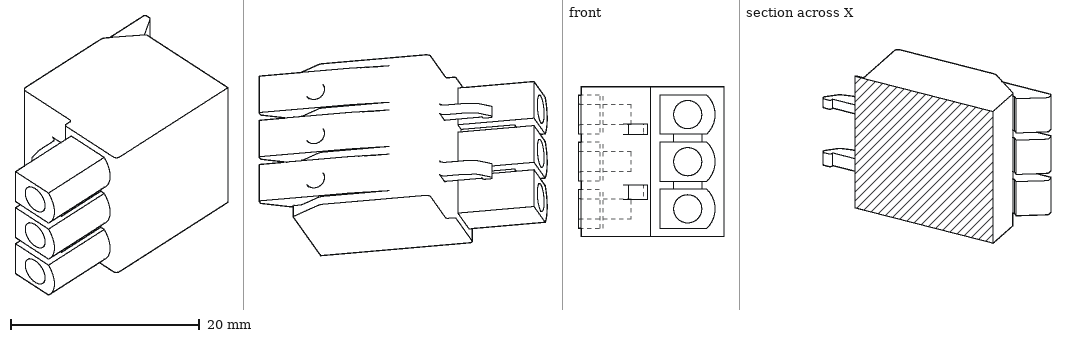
import cadquery as cq
import math

TOTAL_X = 15.4
TOTAL_Y = 27.87
TOTAL_Z = 15.89
PITCH = 5.0
POLE_CENTRES = [TOTAL_Z / 2 + i * PITCH for i in (-1, 0, 1)]
OVERLAP = 0.55

BODY_LEFT = 0.28
BODY_BACK = 24.95
LATCH_FACE = 9.35
PLUG_FACE = 8.3
STEP_X = 7.6
BEVEL_X = 3.18
BEVEL_Y = 21.26
FRONT_ROUND = 0.47
STEP_ROUND = 0.22
BEVEL_SIDE_ROUND = 1.0
BEVEL_BACK_ROUND = 0.4

PLUG_LEFT = 8.6
PLUG_FLAT_END = 13.57
PLUG_RIGHT = 14.46
PLUG_HEIGHT = 4.15
BORE_X = 11.57
BORE_DIAMETER = 2.98
BORE_DEPTH = PLUG_FACE
WEB_WIDTH = BORE_DIAMETER
WEB_TIP = 2.45

LEVER_HEIGHT = 4.12
LEVER_BEND = 17.95
LEVER_END = 13.75
LEVER_TIP_WIDTH = 0.8
LEVER_HOOK_X = 2.62
LEVER_HOOK_Y = 24.97
LEVER_INNER_X = 2.25
LEVER_TIP_ROUND = 0.2
LEVER_HOLE_Y = 21.82
LEVER_HOLE_DIAMETER = 2.12
LEVER_HOLE_DEPTH = 5.57
LEVER_HOLE_ROUND = 0.22

LATCH_LEFT = 5.3
LATCH_RIGHT = 6.9
LATCH_BEND = 6.8
NOSE_X = 5.63
NOSE_Y = 5.4
NOSE_ROUND = 0.6
HOOK_RIGHT = 7.3
HOOK_TOP = 5.25
HOOK_TIP_ROUND = 0.3
HOOK_TOP_ROUND = 0.25
LATCH_ROOT_ROUND = 0.53
LATCH_SMALL_ROOT_ROUND = 0.15
LATCH_SPANS = [(3.93, 5.45), (10.85, 11.93)]


def layer(bottom):
    """Horizontal sketch plane at the given height."""
    return cq.Workplane("XY").workplane(offset=bottom)


def round_upright_edges(solid, edge_rounds, mid_height):
    """Fillet the vertical edges given as (x, y, radius)."""
    for x, y, radius in edge_rounds:
        edge = cq.selectors.NearestToPointSelector((x, y, mid_height))
        solid = solid.edges(edge).fillet(radius)
    return solid


def make_housing():
    outline = [
        (BODY_LEFT, LATCH_FACE),
        (STEP_X, LATCH_FACE),
        (STEP_X, PLUG_FACE),
        (TOTAL_X, PLUG_FACE),
        (TOTAL_X, BODY_BACK),
        (BEVEL_X, BODY_BACK),
        (BODY_LEFT, BEVEL_Y),
    ]
    housing = layer(0).polyline(outline).close().extrude(TOTAL_Z)
    edge_rounds = [
        (BODY_LEFT, LATCH_FACE, FRONT_ROUND),
        (TOTAL_X, PLUG_FACE, FRONT_ROUND),
        (STEP_X, LATCH_FACE, STEP_ROUND),
        (STEP_X, PLUG_FACE, STEP_ROUND),
        (BODY_LEFT, BEVEL_Y, BEVEL_SIDE_ROUND),
        (BEVEL_X, BODY_BACK, BEVEL_BACK_ROUND),
    ]
    return round_upright_edges(housing, edge_rounds, TOTAL_Z / 2)


def make_plug(z_centre):
    """Sleeve with three flat sides and one bowed side."""
    half = PLUG_HEIGHT / 2
    length = PLUG_FACE + OVERLAP
    return (
        cq.Workplane("XZ")
        .moveTo(PLUG_LEFT, z_centre - half)
        .lineTo(PLUG_FLAT_END, z_centre - half)
        .threePointArc((PLUG_RIGHT, z_centre), (PLUG_FLAT_END, z_centre + half))
        .lineTo(PLUG_LEFT, z_centre + half)
        .close()
        .extrude(-length)
    )


def make_web():
    """Rib running through the sleeves and bridging the gaps between them."""
    length = PLUG_FACE + OVERLAP - WEB_TIP
    height = POLE_CENTRES[-1] - POLE_CENTRES[0]
    return (
        layer(POLE_CENTRES[0])
        .center(BORE_X, WEB_TIP + length / 2)
        .rect(WEB_WIDTH, length)
        .extrude(height)
    )


def make_bore(z_centre):
    return (
        cq.Workplane("XZ")
        .center(BORE_X, z_centre)
        .circle(BORE_DIAMETER / 2)
        .extrude(-BORE_DEPTH)
    )


def make_lever(z_centre):
    hook_return = LEVER_HOOK_X - LEVER_INNER_X
    outline = [
        (0, LEVER_BEND),
        (0, TOTAL_Y),
        (LEVER_TIP_WIDTH, TOTAL_Y),
        (LEVER_HOOK_X, LEVER_HOOK_Y),
        (LEVER_INNER_X, LEVER_HOOK_Y - hook_return),
        (LEVER_INNER_X, LEVER_BEND),
        (BODY_LEFT, LEVER_END),
    ]
    lever = layer(z_centre - LEVER_HEIGHT / 2).polyline(outline).close().extrude(LEVER_HEIGHT)
    return lever.faces(">Y").edges("|Z").fillet(LEVER_TIP_ROUND)


def make_lever_hole(z_centre):
    """Blind hole along X whose mouth is rounded over; a revolved half profile."""
    radius = LEVER_HOLE_DIAMETER / 2
    mouth = radius + LEVER_HOLE_ROUND
    arc_offset = LEVER_HOLE_ROUND * (1 - math.sqrt(0.5))
    return (
        layer(z_centre)
        .center(0, LEVER_HOLE_Y)
        .lineTo(0, mouth)
        .threePointArc((arc_offset, radius + arc_offset), (LEVER_HOLE_ROUND, radius))
        .lineTo(LEVER_HOLE_DEPTH, radius)
        .lineTo(LEVER_HOLE_DEPTH, 0)
        .close()
        .revolve(360, (0, 0), (1, 0))
    )


def make_latch(bottom, top):
    height = top - bottom
    root = LATCH_FACE + OVERLAP
    tip_y = NOSE_Y - (HOOK_RIGHT - NOSE_X)
    outline = [
        (LATCH_LEFT, root),
        (LATCH_LEFT, LATCH_BEND),
        (NOSE_X, NOSE_Y),
        (HOOK_RIGHT, tip_y),
        (HOOK_RIGHT, HOOK_TOP),
        (LATCH_RIGHT, HOOK_TOP),
        (LATCH_RIGHT, root),
    ]
    latch = layer(bottom).polyline(outline).close().extrude(height)
    edge_rounds = [
        (NOSE_X, NOSE_Y, NOSE_ROUND),
        (HOOK_RIGHT, tip_y, HOOK_TIP_ROUND),
        (HOOK_RIGHT, HOOK_TOP, HOOK_TOP_ROUND),
    ]
    latch = round_upright_edges(latch, edge_rounds, (bottom + top) / 2)
    left_root = make_root_round(LATCH_LEFT, -LATCH_ROOT_ROUND, bottom, height)
    right_root = make_root_round(LATCH_RIGHT, LATCH_SMALL_ROOT_ROUND, bottom, height)
    return latch.union(left_root).union(right_root)


def make_root_round(x, reach, bottom, height):
    """Concave corner fill between a latch side and the housing; reach is signed along X."""
    radius = abs(reach)
    arc_offset = 1 - math.sqrt(0.5)
    return (
        layer(bottom)
        .moveTo(x, LATCH_FACE)
        .lineTo(x + reach, LATCH_FACE)
        .threePointArc(
            (x + reach * arc_offset, LATCH_FACE - radius * arc_offset),
            (x, LATCH_FACE - radius),
        )
        .close()
        .extrude(height)
    )


result = make_housing().union(make_web())
for centre in POLE_CENTRES:
    result = result.union(make_plug(centre)).union(make_lever(centre))
for latch_bottom, latch_top in LATCH_SPANS:
    result = result.union(make_latch(latch_bottom, latch_top))
for centre in POLE_CENTRES:
    result = result.cut(make_bore(centre)).cut(make_lever_hole(centre))